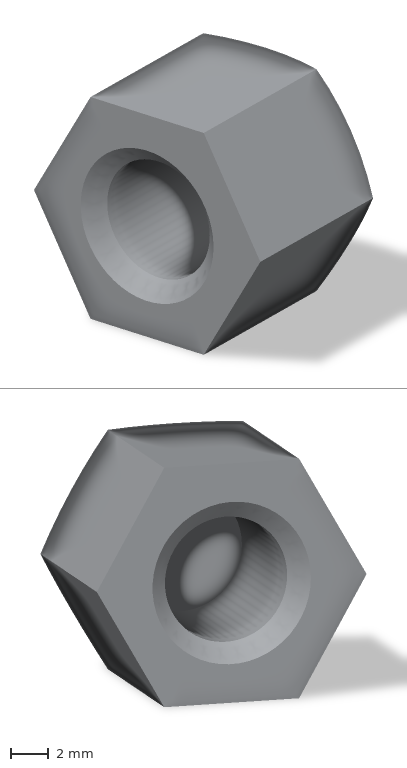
import cadquery as cq
import math

corner_width = 15.01
total_length = 12.0
dome_radius = 15.0
bore_diameter = 6.8
countersink_diameter = 8.81
bore_depth = 9.0

corner_radius = corner_width / 2
bore_radius = bore_diameter / 2
countersink_radius = countersink_diameter / 2
countersink_depth = countersink_radius - bore_radius


def hexagonal_prism():
    """Hexagon with corners on the X axis, extruded from Y = 0 towards +Y."""
    corners = [
        (
            corner_radius * math.cos(math.radians(angle)),
            corner_radius * math.sin(math.radians(angle)),
        )
        for angle in range(0, 360, 60)
    ]
    return cq.Workplane("XZ").polyline(corners).close().extrude(-total_length)


def dome_envelope():
    """Sphere whose +Y pole sits at the end of the nut."""
    return cq.Workplane("XY").sphere(dome_radius).translate((0, total_length - dome_radius, 0))


def countersunk_bore():
    """Blind bore with a conical mouth, revolved about the Y axis."""
    return (
        cq.Workplane("XY")
        .moveTo(0, 0)
        .lineTo(countersink_radius, 0)
        .lineTo(bore_radius, countersink_depth)
        .lineTo(bore_radius, bore_depth)
        .lineTo(0, bore_depth)
        .close()
        .revolve(360, (0, 0, 0), (0, 1, 0))
    )


result = hexagonal_prism().intersect(dome_envelope()).cut(countersunk_bore())